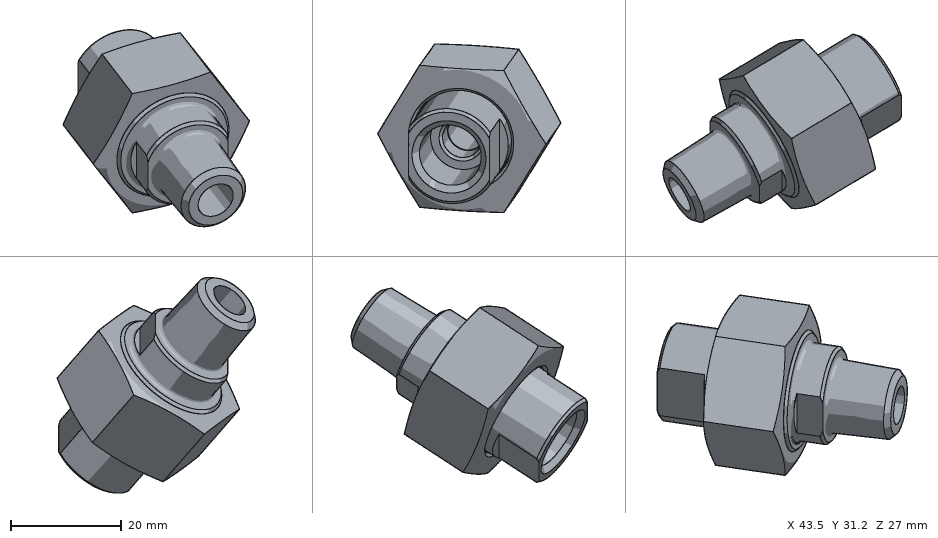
import cadquery as cq
import math


total_length = 43.5
nut_start = 10.5
nut_width = 14.45
nut_end = nut_start + nut_width

nut_across_flats = 27.0
nut_across_corners = nut_across_flats / math.cos(math.pi / 6)
nut_face_diameter = 26.45
nut_corner_chamfer = 0.65
nut_lip_thickness = 2.6
nut_lip_bore = 18.5
nut_lip_chamfer = 0.52
nut_thread_diameter = 22.35

neck_diameter = 18.0
edge_chamfer = 0.52
socket_bore = 11.45
socket_mouth = 13.7
socket_mouth_depth = 1.15
socket_depth = 10.88
tail_passage = 7.2
passage_mouth = 8.25
passage_mouth_depth = (passage_mouth - tail_passage) / 2
flange_diameter = 22.0
flange_thickness = 2.6
flange_start = nut_start + nut_lip_thickness
joint_x = flange_start + flange_thickness
tail_across_flats = 15.0
tail_flat_end = 8.9

spigot_bore = 7.0
collar_end = 25.5
collar_chamfer = 0.52
shoulder_end = 31.45
spigot_across_flats = 16.0
spigot_flat_start = 26.55
root_fillet = 0.8
thread_root_diameter = 13.5
thread_slope = 1 / 32
tip_chamfer = 1.05

flat_ramp_angle = math.radians(15)


def revolved(profile):
    """Turn a closed (x, radius) profile about the X axis."""
    return cq.Workplane("XY").polyline(profile).close().revolve(360, (0, 0, 0), (1, 0, 0))


def wrench_flat_cutter(across_flats, open_x, flat_end_x, side):
    """Waste beyond one flat on the given Y side, running out along a ramp past flat_end_x."""
    flat_y = across_flats / 2
    outer_y = neck_diameter / 2 + 0.45
    direction = math.copysign(1, flat_end_x - open_x)
    ramp_x = flat_end_x + direction * (outer_y - flat_y) * math.tan(flat_ramp_angle)
    outline = [
        (open_x, side * flat_y),
        (flat_end_x, side * flat_y),
        (ramp_x, side * outer_y),
        (open_x, side * outer_y),
    ]
    return cq.Workplane("XY").polyline(outline).close().extrude(neck_diameter / 2, both=True)


def make_tail():
    neck_radius = neck_diameter / 2
    tail = revolved([
        (0, socket_mouth / 2),
        (0, neck_radius - edge_chamfer),
        (edge_chamfer, neck_radius),
        (flange_start, neck_radius),
        (flange_start, flange_diameter / 2),
        (joint_x, flange_diameter / 2),
        (joint_x, tail_passage / 2),
        (socket_depth + passage_mouth_depth, tail_passage / 2),
        (socket_depth, passage_mouth / 2),
        (socket_depth, socket_bore / 2),
        (socket_mouth_depth, socket_bore / 2),
    ])
    for side in (-1, 1):
        tail = tail.cut(wrench_flat_cutter(tail_across_flats, 0, tail_flat_end, side))
    return tail


def make_nut():
    hexagon = (
        cq.Workplane("YZ", origin=(nut_start, 0, 0))
        .polygon(6, nut_across_corners)
        .extrude(nut_width)
    )
    corner_radius = nut_across_corners / 2
    envelope = revolved([
        (nut_start, nut_lip_bore / 2 + nut_lip_chamfer),
        (nut_start, nut_face_diameter / 2),
        (nut_start + nut_corner_chamfer, corner_radius),
        (nut_end - nut_corner_chamfer, corner_radius),
        (nut_end, nut_face_diameter / 2),
        (nut_end, nut_thread_diameter / 2),
        (flange_start, nut_thread_diameter / 2),
        (flange_start, nut_lip_bore / 2),
        (nut_start + nut_lip_chamfer, nut_lip_bore / 2),
    ])
    return hexagon.intersect(envelope)


def root_fillet_ring(face_x, radius):
    """Concave fillet between the step face at face_x and the round of the given radius beyond it."""
    arc_drop = root_fillet * (1 - math.sqrt(0.5))
    return (
        cq.Workplane("XY")
        .moveTo(face_x, radius)
        .lineTo(face_x, radius + root_fillet)
        .threePointArc((face_x + arc_drop, radius + arc_drop), (face_x + root_fillet, radius))
        .close()
        .revolve(360, (0, 0, 0), (1, 0, 0))
    )


def make_spigot():
    collar_radius = nut_thread_diameter / 2
    neck_radius = neck_diameter / 2
    thread_start = shoulder_end + root_fillet
    thread_radius = thread_root_diameter / 2
    thread_end = total_length - tip_chamfer
    thread_end_radius = thread_radius - (thread_end - thread_start) * thread_slope
    body = revolved([
        (joint_x, spigot_bore / 2),
        (joint_x, collar_radius),
        (collar_end - collar_chamfer, collar_radius),
        (collar_end, collar_radius - collar_chamfer),
        (collar_end, neck_radius),
        (shoulder_end - edge_chamfer, neck_radius),
        (shoulder_end, neck_radius - edge_chamfer),
        (shoulder_end, thread_radius),
        (thread_start, thread_radius),
        (thread_end, thread_end_radius),
        (total_length, thread_end_radius - tip_chamfer),
        (total_length, spigot_bore / 2),
    ])
    spigot = (
        body
        .union(root_fillet_ring(collar_end, neck_radius))
        .union(root_fillet_ring(shoulder_end, thread_radius))
    )
    for side in (-1, 1):
        spigot = spigot.cut(
            wrench_flat_cutter(spigot_across_flats, shoulder_end, spigot_flat_start, side)
        )
    return spigot


tail = make_tail()
nut = make_nut()
spigot = make_spigot()

result = cq.Compound.makeCompound([tail.val(), nut.val(), spigot.val()])